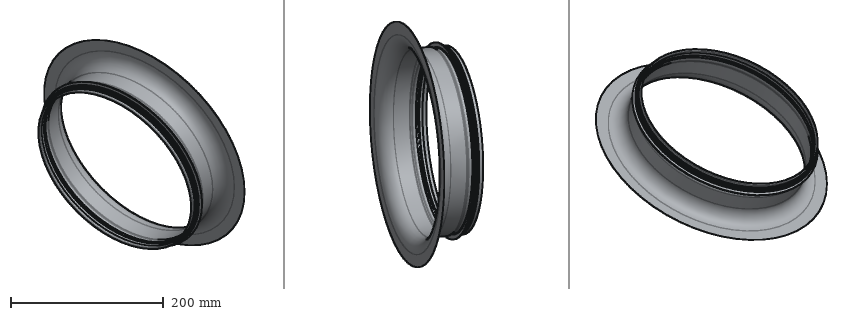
import cadquery as cq
import math


length = 66.0
sheet = 0.5
flange_radius = 323 / 2
tube_radius = 249.0 / 2
bell_radius = 20.0
groove_radius = 245.0 / 2
groove_front = 6.0
ramp_start = 23.5
ramp_angle = math.radians(35)
ramp_outside_bend = 1.5
hem_radius = 243.0 / 2
hem_back = 10.3

seal_radius = 247.0 / 2
seal_back = 15.2
back_fin_radius = 259.3 / 2
front_fin_radius = 254.5 / 2
fin_thickness = 1.0
shoulder_radius = 250.0 / 2
shoulder_back = 11.3
shoulder_front = 8.5
shoulder_slope = 0.5


def revolve_profile(profile):
    return profile.close().revolve(360, (0, 0), (0, 1))


def on_arc(center, radius, angle):
    """Point on an arc; the angle runs from the outward radial direction toward +Y."""
    return (center[0] + radius * math.cos(angle), center[1] + radius * math.sin(angle))


def make_collar():
    tube_inner = tube_radius - sheet
    groove_inner = groove_radius - sheet
    flange_front = length - sheet

    bell_center = (tube_radius + bell_radius, flange_front - bell_radius)
    bell_middle = math.radians(135)
    bell_inner_radius = bell_radius + sheet

    inside_bend = ramp_outside_bend - sheet
    wide_center = (tube_radius - ramp_outside_bend, ramp_start)
    narrow_center_radius = groove_radius + inside_bend
    center_rise = narrow_center_radius - wide_center[0]
    bend_sum = ramp_outside_bend + inside_bend
    ramp_length = (bend_sum - center_rise * math.cos(ramp_angle)) / math.sin(ramp_angle)
    ramp_end = ramp_start - ramp_length
    narrow_center = (narrow_center_radius, ramp_end)
    wide_angle = -ramp_angle
    narrow_angle = math.pi - ramp_angle

    lip_bend = (tube_radius - hem_radius) / 2
    lip_center = (tube_radius - lip_bend, lip_bend)
    lip_middle = math.radians(-90)
    lip_inner_bend = lip_bend - sheet

    profile = (
        cq.Workplane("XY")
        .moveTo(flange_radius, length)
        .lineTo(flange_radius, flange_front)
        .lineTo(bell_center[0], flange_front)
        .threePointArc(on_arc(bell_center, bell_radius, bell_middle), (tube_radius, bell_center[1]))
        .lineTo(tube_radius, ramp_start)
        .threePointArc(
            on_arc(wide_center, ramp_outside_bend, wide_angle / 2),
            on_arc(wide_center, ramp_outside_bend, wide_angle),
        )
        .lineTo(*on_arc(narrow_center, inside_bend, narrow_angle))
        .threePointArc(
            on_arc(narrow_center, inside_bend, math.pi - ramp_angle / 2), (groove_radius, ramp_end)
        )
        .lineTo(groove_radius, groove_front)
        .lineTo(tube_radius, groove_front)
        .lineTo(tube_radius, lip_bend)
        .threePointArc(on_arc(lip_center, lip_bend, lip_middle), (hem_radius, lip_bend))
        .lineTo(hem_radius, hem_back)
        .lineTo(groove_inner, hem_back)
        .lineTo(groove_inner, ramp_end)
        .threePointArc(
            on_arc(narrow_center, ramp_outside_bend, math.pi - ramp_angle / 2),
            on_arc(narrow_center, ramp_outside_bend, narrow_angle),
        )
        .lineTo(*on_arc(wide_center, inside_bend, wide_angle))
        .threePointArc(on_arc(wide_center, inside_bend, wide_angle / 2), (tube_inner, ramp_start))
        .lineTo(tube_inner, bell_center[1])
        .threePointArc(on_arc(bell_center, bell_inner_radius, bell_middle), (bell_center[0], length))
    )

    hollow_back = groove_front - sheet
    hollow = (
        cq.Workplane("XY")
        .moveTo(tube_inner, hollow_back)
        .lineTo(tube_inner, lip_bend)
        .threePointArc(on_arc(lip_center, lip_inner_bend, lip_middle), (hem_radius + sheet, lip_bend))
        .lineTo(hem_radius + sheet, hollow_back)
    )
    return revolve_profile(profile).cut(revolve_profile(hollow))


def make_seal():
    """Ring seated in the collar's groove, with a tall back fin and a lower front fin."""
    profile = cq.Workplane("XY").polyline([
        (groove_radius, seal_back),
        (back_fin_radius, seal_back),
        (back_fin_radius, seal_back - fin_thickness),
        (seal_radius, seal_back - fin_thickness),
        (seal_radius, shoulder_back + shoulder_slope),
        (shoulder_radius, shoulder_back),
        (front_fin_radius, shoulder_back),
        (front_fin_radius, shoulder_back - fin_thickness),
        (shoulder_radius, shoulder_back - fin_thickness),
        (shoulder_radius, shoulder_front),
        (seal_radius, shoulder_front - shoulder_slope),
        (seal_radius, groove_front),
        (groove_radius, groove_front),
    ])
    return revolve_profile(profile)


collar = make_collar()
seal = make_seal()

result = cq.Compound.makeCompound([collar.val(), seal.val()])